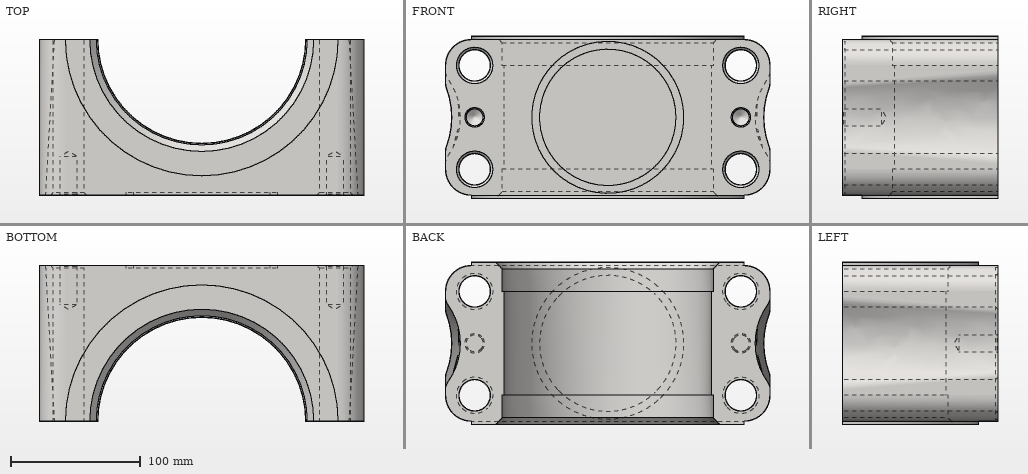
import cadquery as cq
import math

width = 250.0
depth = 120.0
height = 120.0
corner_radius = 20.0

pad_radius = 105.0
overall_height = 125.0

bore_radius = 80.0
relief_radius = 81.2
mouth_radius = 86.2
mouth_chamfer_depth = 5.2
relief_length = 17.5

hole_x = 102.5
bolt_hole_z = 40.0
bolt_diameter = 24.0
bolt_chamfer = 2.0
blind_diameter = 13.0
blind_chamfer = 1.0
blind_depth = 30.0
drill_point_angle = 118.0

groove_outer_diameter = 117.0
groove_inner_diameter = 105.0
groove_depth = 2.0

front_recess = (26.2, 22.2, 4.8)
back_recess = (35.8, 29.5, 11.5)


def cylinder_z(radius, length):
    """Cylinder along Z, centred on the bore axis."""
    return cq.Workplane("XY").circle(radius).extrude(length / 2, both=True)


def make_block():
    block = cq.Workplane("XY").box(width, depth, height).translate((0, -depth / 2, 0))
    block = block.edges("|Y").fillet(corner_radius)
    pad_bounds = cq.Workplane("XY").box(width, depth, overall_height).translate((0, -depth / 2, 0))
    return block.union(cylinder_z(pad_radius, overall_height).intersect(pad_bounds))


def make_bore():
    """Revolved bore with a relief and a chamfered mouth at each end."""
    end = overall_height / 2
    chamfer_end = end - mouth_chamfer_depth
    relief_end = chamfer_end - relief_length
    upper_profile = [
        (bore_radius, relief_end),
        (relief_radius, relief_end),
        (relief_radius, chamfer_end),
        (mouth_radius, end),
    ]
    lower_profile = [(radius, -z) for radius, z in reversed(upper_profile)]
    outline = [(0, -end)] + lower_profile + upper_profile + [(0, end)]
    return cq.Workplane("XZ").polyline(outline).close().revolve(360, (0, 0, 0), (0, 1, 0))


def add_recess_profile(plane, half_height, arc_half_height, recess_depth):
    """Concave arc blended into the flat side by a tangent convex arc at each end."""
    side = -width / 2
    slope = 2 * math.atan(recess_depth / half_height)
    arc_radius = arc_half_height / math.sin(slope)
    blend_radius = (half_height - arc_half_height) / math.sin(slope)
    blend_depth = blend_radius * (1 - math.cos(slope))
    blend_middle_z = half_height - blend_radius * math.sin(slope / 2)
    blend_middle_x = side + blend_radius * (1 - math.cos(slope / 2))
    deepest_x = side + blend_depth + arc_radius * (1 - math.cos(slope))
    return (
        plane.moveTo(side, half_height)
        .threePointArc((blend_middle_x, blend_middle_z), (side + blend_depth, arc_half_height))
        .threePointArc((deepest_x, 0), (side + blend_depth, -arc_half_height))
        .threePointArc((blend_middle_x, -blend_middle_z), (side, -half_height))
        .close()
    )


def make_side_recess():
    back = add_recess_profile(cq.Workplane("XZ"), *back_recess)
    return add_recess_profile(back.workplane(offset=depth), *front_recess).loft(ruled=True)


def make_hole(x, z, diameter, chamfer, length, tip_length=0.0):
    """Revolved hole from the mounting face with a chamfered mouth and an optional pointed end."""
    radius = diameter / 2
    outline = [
        (0, 0),
        (radius + chamfer, 0),
        (radius, chamfer),
        (radius, length),
        (0, length + tip_length),
    ]
    hole = cq.Workplane("XY").polyline(outline).close().revolve(360, (0, 0, 0), (0, 1, 0))
    return hole.translate((x, -depth, z))


def make_ring_groove():
    ring = cq.Workplane("XZ", origin=(0, groove_depth - depth, 0))
    return ring.circle(groove_outer_diameter / 2).circle(groove_inner_diameter / 2).extrude(groove_depth)


result = make_block().cut(make_bore()).cut(make_ring_groove())

side_recess = make_side_recess()
result = result.cut(side_recess).cut(side_recess.mirror("YZ"))

drill_tip = blind_diameter / 2 / math.tan(math.radians(drill_point_angle / 2))
for x in (-hole_x, hole_x):
    result = result.cut(make_hole(x, 0, blind_diameter, blind_chamfer, blind_depth, drill_tip))
    for z in (-bolt_hole_z, bolt_hole_z):
        result = result.cut(make_hole(x, z, bolt_diameter, bolt_chamfer, depth))